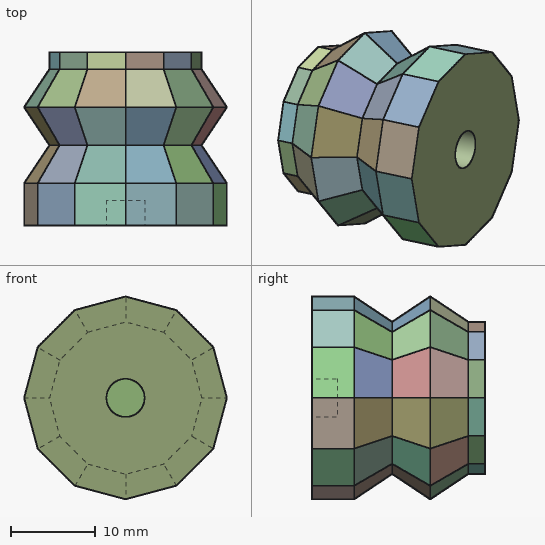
import cadquery as cq

SIDES = 12
LENGTH = 20.5
RIM_DIAMETER = 24.0
NECK_DIAMETER = 18.0
FRONT_BAND = 5.0
BACK_BAND = 2.0
TAPER_COUNT = 3
TAPER = (LENGTH - FRONT_BAND - BACK_BAND) / TAPER_COUNT
BORE_DIAMETER = 4.5
BORE_DEPTH = 3.0


def section(start, length, front_diameter, back_diameter):
    """Twelve-sided prism or frustum running along +Y from y = start."""
    base = cq.Workplane("XZ", origin=(0, start, 0)).polygon(SIDES, front_diameter)
    if front_diameter == back_diameter:
        return base.extrude(-length)
    return base.workplane(offset=-length).polygon(SIDES, back_diameter).loft(ruled=True)


sections = [
    (FRONT_BAND, RIM_DIAMETER, RIM_DIAMETER),
    (TAPER, RIM_DIAMETER, NECK_DIAMETER),
    (TAPER, NECK_DIAMETER, RIM_DIAMETER),
    (TAPER, RIM_DIAMETER, NECK_DIAMETER),
    (BACK_BAND, NECK_DIAMETER, NECK_DIAMETER),
]

body = cq.Workplane("XZ")
y = 0.0
for length, front_diameter, back_diameter in sections:
    body = body.union(section(y, length, front_diameter, back_diameter))
    y += length

bore = cq.Workplane("XZ").circle(BORE_DIAMETER / 2).extrude(-BORE_DEPTH)

result = body.cut(bore)